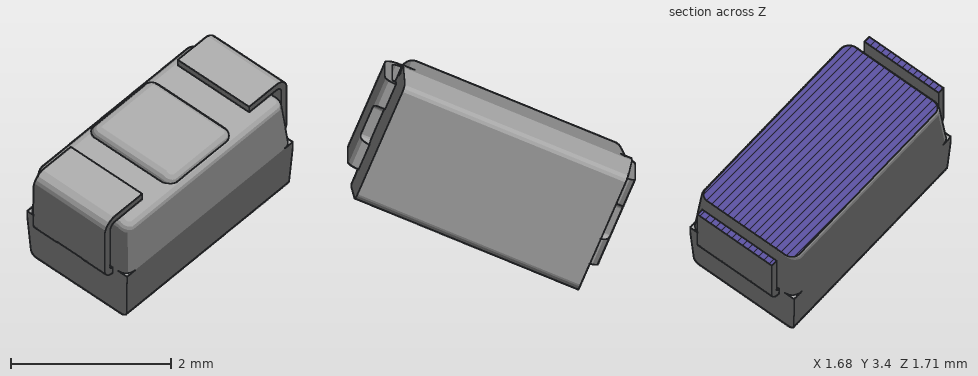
import cadquery as cq

body_width = 1.68
body_length = 3.1
lower_height = 0.7
lower_draft = 3.0
lower_edge_radius = 0.1
upper_draft = 5.0
upper_height = 0.79
upper_edge_radius = 0.15

sheet_thickness = 0.1
lead_width = 1.2
overall_length = 3.4
overall_height = 1.71
lead_top_length = 0.7
lead_top_radius = 0.2
lead_bottom_radius = 0.15

notch_width = 0.5
notch_lean = 0.03
notch_corner_radius = 0.06

pad_width = 1.41
pad_length = 1.22
pad_rise = 0.1
pad_edge_radius = 0.15
pad_depth = 0.3

plate_top = lower_height + sheet_thickness
upper_top = plate_top + upper_height


def make_lower_body():
    """Half shell tapering downwards, rounded along its two long bottom edges."""
    shell = (
        cq.Workplane("XY", origin=(0, 0, lower_height))
        .rect(body_width, body_length)
        .extrude(-lower_height, taper=lower_draft)
    )
    return shell.faces("<Z").edges("|Y").fillet(lower_edge_radius)


def make_plate():
    """Straight-sided band at the parting plane."""
    return (
        cq.Workplane("XY", origin=(0, 0, lower_height))
        .rect(body_width, body_length)
        .extrude(sheet_thickness)
    )


def make_upper_body():
    """Half shell tapering upwards, rounded on its corners and top edges."""
    shell = (
        cq.Workplane("XY", origin=(0, 0, plate_top))
        .rect(body_width, body_length)
        .extrude(upper_height, taper=upper_draft)
    )
    return shell.edges(">Z or (not (|X or |Y))").fillet(upper_edge_radius)


def make_pad():
    """Raised pad with equal rounds on its corners and top edges."""
    pad_top = upper_top + pad_rise
    block = cq.Workplane("XY", origin=(0, 0, pad_top)).rect(pad_width, pad_length).extrude(-pad_depth)
    return block.edges("|Z or >Z").fillet(pad_edge_radius)


def make_lead():
    """C-shaped strip at the +Y end, from the plate edge up and over the top."""
    body_end = body_length / 2
    lead_end = overall_length / 2
    lead_tip = lead_end - lead_top_length
    inner_end = lead_end - sheet_thickness
    inner_top = overall_height - sheet_thickness
    inner_top_radius = lead_top_radius - sheet_thickness
    inner_bottom_radius = lead_bottom_radius - sheet_thickness
    notch_half = notch_width / 2
    strip = (
        cq.Workplane("YZ")
        .moveTo(body_end, lower_height)
        .radiusArc((lead_end, lower_height + lead_bottom_radius), -lead_bottom_radius)
        .lineTo(lead_end, overall_height - lead_top_radius)
        .radiusArc((lead_end - lead_top_radius, overall_height), -lead_top_radius)
        .lineTo(lead_tip, overall_height)
        .lineTo(lead_tip, inner_top)
        .lineTo(inner_end - inner_top_radius, inner_top)
        .radiusArc((inner_end, inner_top - inner_top_radius), inner_top_radius)
        .lineTo(inner_end, plate_top + inner_bottom_radius)
        .radiusArc((body_end, plate_top), inner_bottom_radius)
        .close()
        .extrude(lead_width / 2, both=True)
    )
    notch = (
        cq.Workplane("XZ", origin=(0, body_end, 0))
        .moveTo(-notch_half, lower_height)
        .lineTo(notch_half, lower_height)
        .lineTo(notch_half - notch_lean, plate_top)
        .lineTo(notch_lean - notch_half, plate_top)
        .close()
        .extrude(body_end - lead_end)
        .edges("|Y and >Z")
        .fillet(notch_corner_radius)
    )
    return strip.cut(notch)


lead = make_lead()
result = (
    make_lower_body()
    .union(make_plate())
    .union(make_upper_body())
    .union(make_pad())
    .union(lead)
    .union(lead.mirror("XZ"))
)